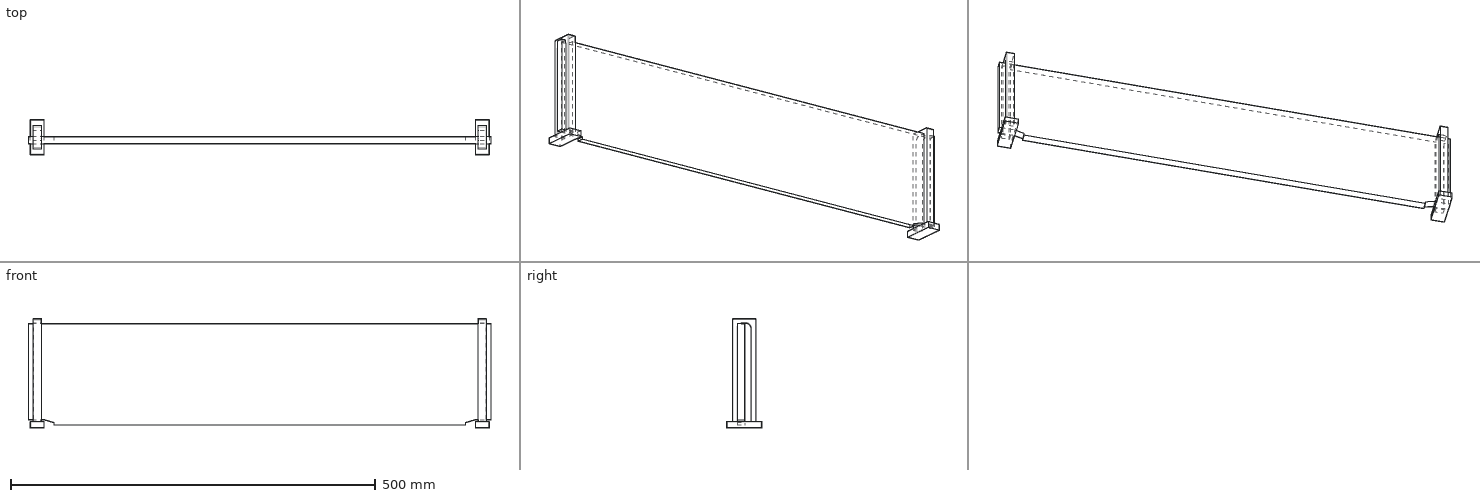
import cadquery as cq

FOOT_LENGTH = 48.0
FOOT_WIDTH = 19.0
FOOT_HEIGHT = 9.0
FOOT_INSET = 2.5
FRAME_TOP = 150.0
FRAME_WIDTH = 11.5
FRAME_DEPTH = 32.5
FRAME_WALL = 7.0
FRAME_BRIDGE = 6.5
FRAME_CORNER_RADIUS = 2.0
OPENING_CORNER_RADIUS = 7.5
EDGE_ROUND = 0.95
OPENING_DEPTH = FRAME_DEPTH - 2 * FRAME_WALL
OPENING_TOP = FRAME_TOP - FRAME_BRIDGE

LENGTH = 635.0
PANEL_THICKNESS = 10.0
PANEL_TOP = 143.0
PANEL_BOTTOM = 4.0
FOOT_CLEARANCE = 2.0
PANEL_FRONT = -OPENING_DEPTH / 2
PANEL_END_BOTTOM = FOOT_HEIGHT + FOOT_CLEARANCE

TAPER_START = 22.0
TAPER_END = 35.0
TAPER_DROP = 4.0

FRAME_X = LENGTH / 2 - FOOT_INSET - FOOT_WIDTH / 2


def make_panel():
    end = LENGTH / 2
    left_end = [
        (-end, PANEL_TOP),
        (-end, PANEL_END_BOTTOM),
        (-end + TAPER_START, PANEL_END_BOTTOM),
        (-end + TAPER_END, PANEL_END_BOTTOM - TAPER_DROP),
        (-end + TAPER_END, PANEL_BOTTOM),
    ]
    right_end = [(-x, z) for x, z in reversed(left_end)]
    return (
        cq.Workplane("XZ", origin=(0, PANEL_FRONT, 0))
        .polyline(left_end + right_end)
        .close()
        .extrude(-PANEL_THICKNESS)
    )


def make_foot():
    """Foot at the +X end, rounded on its top and outboard edges but sharp on the inboard side."""
    foot = (
        cq.Workplane("XY", origin=(FRAME_X, 0, 0))
        .rect(FOOT_WIDTH, FOOT_LENGTH)
        .extrude(FOOT_HEIGHT)
    )
    return foot.edges("(>X or >Z) and (not <X) and (not <Z)").fillet(EDGE_ROUND)


def make_arch(depth, top, corner_radius):
    """Upright block standing on the foot, with its two top corners rounded."""
    return (
        cq.Workplane("XY", origin=(FRAME_X, 0, FOOT_HEIGHT))
        .rect(FRAME_WIDTH, depth)
        .extrude(top - FOOT_HEIGHT)
        .edges("|X and >Z")
        .fillet(corner_radius)
    )


def make_frame():
    """Frame at the +X end, with both outlines of its outboard face rounded."""
    outer = make_arch(FRAME_DEPTH, FRAME_TOP, FRAME_CORNER_RADIUS)
    opening = make_arch(OPENING_DEPTH, OPENING_TOP, OPENING_CORNER_RADIUS)
    return outer.cut(opening).edges(">X and (not <Z)").fillet(EDGE_ROUND)


support = make_foot().union(make_frame())
result = make_panel().union(support).union(support.mirror("YZ"))